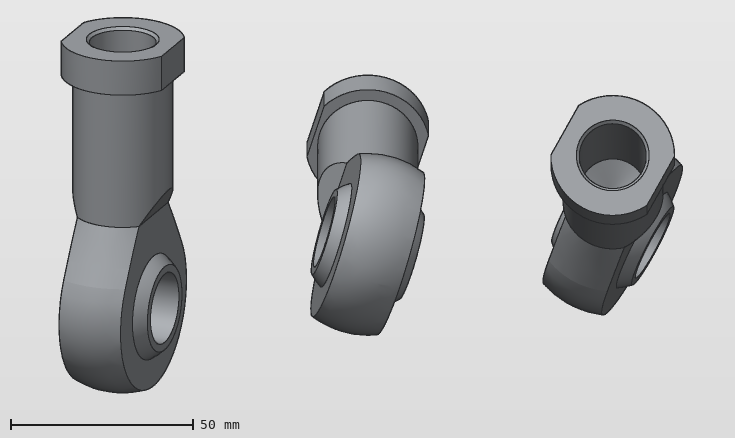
import cadquery as cq
import math


total_height = 102.0

eye_radius = 25.0
eye_width = 18.4
eye_center_z = eye_radius

shank_radius = 27.5 / 2
shank_length = 50.0
shank_bottom_z = total_height - shank_length
collar_diameter = 34.0
collar_height = 10.0
collar_across_flats = 30.0

bevel_angle = math.radians(30)

hole_diameter = 18.4
hole_mouth_diameter = 20.0
hole_depth = 40.0
drill_point_angle = math.radians(120)

ball_radius = 17.4
ball_width = 25.0
ball_bore_diameter = 20.0


def eye_and_shank():
    """Revolve the round eye, the cone tangent to it and the shank about Z."""
    rise = shank_bottom_z - eye_center_z
    corner_distance = math.hypot(shank_radius, rise)
    tangent_angle = math.atan2(rise, shank_radius) - math.acos(eye_radius / corner_distance)
    tangent_point = (
        eye_radius * math.cos(tangent_angle),
        eye_center_z + eye_radius * math.sin(tangent_angle),
    )
    return (
        cq.Workplane("XZ")
        .moveTo(0, 0)
        .threePointArc((eye_radius, eye_center_z), tangent_point)
        .lineTo(shank_radius, shank_bottom_z)
        .lineTo(shank_radius, total_height)
        .lineTo(0, total_height)
        .close()
        .revolve(360, (0, 0, 0), (0, 1, 0))
    )


def side_envelope():
    """Flat-sided eye and bevels seen along Y, extruded through the full depth."""
    half_eye = eye_width / 2
    bevel_top_z = shank_bottom_z + (shank_radius - half_eye) / math.tan(bevel_angle)
    right_side = [
        (half_eye, 0),
        (half_eye, shank_bottom_z),
        (shank_radius, bevel_top_z),
        (shank_radius, total_height),
    ]
    left_side = [(-x, z) for x, z in reversed(right_side)]
    return cq.Workplane("XZ").polyline(right_side + left_side).close().extrude(eye_radius, both=True)


def collar():
    """Round collar at the open end with two wrench flats facing +X and -X."""
    collar_plane = cq.Workplane("XY").workplane(offset=total_height - collar_height)
    disc = collar_plane.circle(collar_diameter / 2).extrude(collar_height)
    flats = collar_plane.rect(collar_across_flats, collar_diameter).extrude(collar_height)
    return disc.intersect(flats)


def shank_hole():
    """Blind hole with a 45 degree lead-in and a conical drill point."""
    hole_radius = hole_diameter / 2
    mouth_radius = hole_mouth_diameter / 2
    lead_in = mouth_radius - hole_radius
    hole_bottom_z = total_height - hole_depth
    drill_tip_z = hole_bottom_z - hole_radius / math.tan(drill_point_angle / 2)
    profile = [
        (0, drill_tip_z),
        (hole_radius, hole_bottom_z),
        (hole_radius, total_height - lead_in),
        (mouth_radius, total_height),
        (0, total_height),
    ]
    return cq.Workplane("XZ").polyline(profile).close().revolve(360, (0, 0, 0), (0, 1, 0))


def ball():
    """Bearing ball with two flat faces, revolved about the X axis of the eye."""
    half_width = ball_width / 2
    face_radius = math.sqrt(ball_radius**2 - half_width**2)
    return (
        cq.Workplane("XY")
        .moveTo(-half_width, 0)
        .lineTo(-half_width, face_radius)
        .threePointArc((0, ball_radius), (half_width, face_radius))
        .lineTo(half_width, 0)
        .close()
        .revolve(360, (0, 0, 0), (1, 0, 0))
        .translate((0, 0, eye_center_z))
    )


def ball_bore():
    """Through bore of the ball along X."""
    return (
        cq.Workplane("YZ")
        .center(0, eye_center_z)
        .circle(ball_bore_diameter / 2)
        .extrude(ball_width / 2, both=True)
    )


body = eye_and_shank().intersect(side_envelope())
body = body.union(collar()).union(ball())
result = body.cut(shank_hole()).cut(ball_bore())